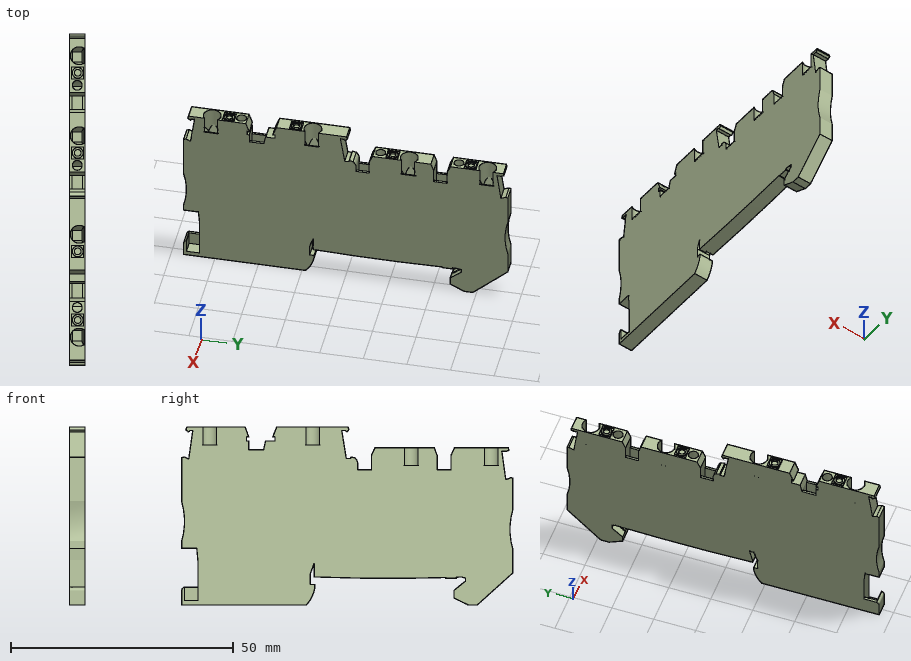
import cadquery as cq


THICKNESS = 3.5
LENGTH = 74.4
HEIGHT = 40.0

LOWER_TOP = 35.35
LOWER_NOTCH_FLOOR = 30.45
UPPER_NOTCH_FLOOR = 34.9
UPPER_LEDGE = 36.9
RAIL_FACE = 6.3
RAIL_FACE_SAG = 0.3

BEVEL_DROP = 1.75
BEVEL_WIDE = 0.8
BEVEL_NARROW = 0.65

NOTCH_1 = (13.95, 17.0)
NOTCH_2 = (31.8, 34.8)
NOTCH_3 = (56.0, 59.3)
BRIDGE_SLOT_WIDTH = 2.45
BRIDGE_SLOT_DEPTH = 3.0

HOLLOW_SPAN = 9.0
HOLLOW_SAG = 0.65
PLUS_HOLLOW_BOTTOM = 12.5
MINUS_HOLLOW_BOTTOM = 14.3

FOOT_STATION = 44.47
SLOT_TOP = 9.8
SLOT_WEB_START = 43.4
SLOT_WEB_END = 44.65
SLOT_WEB_THICKNESS = THICKNESS / 2

FOOT_TOP = 4.05
RECESS_STATION = 70.75
FOOT_POCKET_END = 73.7
FOOT_POCKET_WALL = 0.6
FOOT_POCKET_DEPTH = 3.0

HOOK_ROOT = (10.7, 5.4)
HOOK_TIP = (13.25, 3.35)
HOOK_STEP = 0.3
HOOK_STEP_THICKNESS = THICKNESS / 2
RAIL_PAD = (12.7, 15.1)
RAIL_PAD_LEVEL = 6.0

WIRE_RADIUS = 2.0
WIRE_X = 0.45
MOUTH_DEPTH = 4.0
FUNNEL_DEPTH = 2.6
FUNNEL_MIN_X = -1.6
FUNNEL_MAX_X = 1.5
THROAT_WIDTH = 2.05
THROAT_OUTER = 0.85
THROAT_INNER = 1.45

PUSHER_FROM_WIRE = 3.85
PUSHER_X = 0.1
PUSHER_SIDE = 2.68
PUSHER_RECESS = 0.2
PLUNGER_RADIUS = 1.2
PLUNGER_HOLE_RADIUS = 0.75
PLUNGER_HOLE_DEPTH = 0.4

TEST_FROM_WIRE = 6.65
TEST_RADIUS = 1.1
TEST_RAMP_TOP = 3.0
TEST_DEPTH = 6.0
TEST_RAMP_FOOT = 0.25
TEST_RAMP_SAG = 0.2

TERMINALS = [
    (4.9, LOWER_TOP, 1, True),
    (22.87, LOWER_TOP, 1, True),
    (44.98, HEIGHT, 1, False),
    (68.08, HEIGHT, -1, True),
]


def at(station, level):
    """Point (Y, Z) at a station and a height."""
    return (LENGTH / 2 - station, level)


def side_prism(points, x_from, x_to):
    """Prism of a (station, level) polygon between two X positions."""
    outline = cq.Workplane("YZ", origin=(x_from, 0, 0)).polyline([at(*p) for p in points])
    return outline.close().extrude(x_to - x_from)


def box_between(x_range, station_range, z_range):
    """Box from ranges of X, station and Z."""
    size = [abs(r[1] - r[0]) for r in (x_range, station_range, z_range)]
    low_y = LENGTH / 2 - max(station_range)
    return cq.Workplane("XY").box(*size, centered=False).translate((min(x_range), low_y, min(z_range)))


def cylinder_down(x, station, top, radius, depth):
    """Vertical cylinder hanging down from a level."""
    origin = (x, LENGTH / 2 - station, top)
    return cq.Workplane("XY", origin=origin).circle(radius).extrude(-depth)


def lines(outline, *points):
    """Outline continued through (station, level) points by straight lines."""
    for point in points:
        outline = outline.lineTo(*at(*point))
    return outline


def arc(outline, middle, end):
    """Outline continued by an arc through two (station, level) points."""
    return outline.threePointArc(at(*middle), at(*end))


def make_plate():
    """Plate with the full side outline, traced from the +Y end along the top, then back below."""
    lower_bevel = LOWER_TOP - BEVEL_DROP
    outline = cq.Workplane("YZ", origin=(-THICKNESS / 2, 0, 0)).moveTo(*at(0, 28.5))

    outline = lines(outline, (0.45, 28.65), (1.6, 28.2), (2.48, 34.55))
    outline = lines(outline, (1.5, 34.5), (0.9, 34.75), (1.03, LOWER_TOP))
    outline = lines(outline, (NOTCH_1[0] - BEVEL_WIDE, LOWER_TOP), (NOTCH_1[0], lower_bevel))
    outline = lines(outline, (NOTCH_1[0], LOWER_NOTCH_FLOOR), (NOTCH_1[1], LOWER_NOTCH_FLOOR))
    outline = lines(outline, (NOTCH_1[1], lower_bevel), (NOTCH_1[1] + BEVEL_NARROW, LOWER_TOP))
    outline = lines(outline, (NOTCH_2[0] - BEVEL_WIDE, LOWER_TOP), (NOTCH_2[0], lower_bevel))
    outline = lines(outline, (NOTCH_2[0], LOWER_NOTCH_FLOOR), (NOTCH_2[1], LOWER_NOTCH_FLOOR))

    outline = lines(outline, (NOTCH_2[1], 31.7))
    outline = arc(outline, (35.02, 32.5), (35.5, 33.1))
    outline = lines(outline, (36.35, 33.3), (36.5, 32.95), (37.4, 32.95), (38.4, 39.2))
    outline = lines(outline, (37.6, 39.2), (37.3, 38.85), (36.8, 39.4), (37.0, HEIGHT))

    outline = lines(outline, (53.05, HEIGHT), (53.95, 37.75), (53.45, 37.75), (53.45, UPPER_LEDGE))
    outline = lines(outline, (55.55, UPPER_LEDGE), (NOTCH_3[0], UPPER_NOTCH_FLOOR))
    outline = lines(outline, (NOTCH_3[1], UPPER_NOTCH_FLOOR))
    outline = lines(outline, (NOTCH_3[1], UPPER_LEDGE), (59.8, UPPER_LEDGE), (59.8, 37.8), (NOTCH_3[1], 37.8))
    outline = lines(outline, (60.1, HEIGHT), (73.2, HEIGHT), (73.45, 39.35), (72.8, 38.85), (72.5, 39.2))
    outline = lines(outline, (71.9, 39.2), (72.8, 32.85), (73.8, 33.3), (LENGTH, 33.1))

    outline = lines(outline, (LENGTH, MINUS_HOLLOW_BOTTOM + HOLLOW_SPAN))
    hollow_middle = (LENGTH - HOLLOW_SAG, MINUS_HOLLOW_BOTTOM + HOLLOW_SPAN / 2)
    outline = arc(outline, hollow_middle, (LENGTH, MINUS_HOLLOW_BOTTOM))
    outline = lines(outline, (LENGTH, 12.75), (71.0, 12.75), (RECESS_STATION, 10.05))
    outline = lines(outline, (RECESS_STATION, FOOT_TOP), (73.8, FOOT_TOP))
    outline = arc(outline, (74.2, 3.75), (LENGTH, 3.15))
    outline = lines(outline, (LENGTH, 0), (46.4, 0))
    outline = arc(outline, (45.1, 1.9), (FOOT_STATION, 3.8))
    outline = lines(outline, (FOOT_STATION, 4.65), (45.45, 4.65), (45.45, 7.1), (FOOT_STATION, SLOT_TOP))

    outline = lines(outline, (43.5, SLOT_TOP), (44.25, 6.9), (44.25, RAIL_FACE))
    outline = arc(outline, (28.0, RAIL_FACE - RAIL_FACE_SAG), (11.5, RAIL_FACE))
    outline = lines(outline, (HOOK_ROOT[0], 6.05), HOOK_ROOT, HOOK_TIP, (HOOK_TIP[0], 1.6), (10.0, 0), (8.05, 0))

    outline = lines(outline, (0, 7.25), (0, PLUS_HOLLOW_BOTTOM))
    hollow_middle = (HOLLOW_SAG, PLUS_HOLLOW_BOTTOM + HOLLOW_SPAN / 2)
    outline = arc(outline, hollow_middle, (0, PLUS_HOLLOW_BOTTOM + HOLLOW_SPAN))
    return outline.close().extrude(THICKNESS)


def add_rail_details(body):
    """Web closing the back of the relief slot, pad on the rail face and step in the hook."""
    back = THICKNESS / 2
    web = box_between(
        (back - SLOT_WEB_THICKNESS, back), (SLOT_WEB_START, SLOT_WEB_END), (RAIL_FACE, SLOT_TOP)
    )
    pad = box_between((0, back), RAIL_PAD, (RAIL_PAD_LEVEL, RAIL_FACE + RAIL_FACE_SAG))
    step = side_prism(
        [
            HOOK_ROOT,
            HOOK_TIP,
            (HOOK_TIP[0], HOOK_TIP[1] - HOOK_STEP),
            (HOOK_ROOT[0], HOOK_ROOT[1] - HOOK_STEP),
        ],
        -back,
        HOOK_STEP_THICKNESS - back,
    )
    return body.union(web).union(pad).cut(step)


def foot_pocket():
    """Pocket in the top of the -Y foot, leaving a thin wall on its -X side."""
    return box_between(
        (FOOT_POCKET_WALL - THICKNESS / 2, THICKNESS / 2),
        (RECESS_STATION, FOOT_POCKET_END),
        (FOOT_TOP - FOOT_POCKET_DEPTH, FOOT_TOP),
    )


def bridge_slot(notch, floor):
    """Slot sunk in a notch floor over the whole length of the notch."""
    half_width = BRIDGE_SLOT_WIDTH / 2
    return box_between((-half_width, half_width), notch, (floor - BRIDGE_SLOT_DEPTH, floor))


def wire_entry(station, top, direction):
    """Round mouth followed by a funnel, clipped to the mouth circle, down to the throat."""
    mouth = cylinder_down(WIRE_X, station, top, WIRE_RADIUS, MOUTH_DEPTH)
    throat_centre = direction * (THROAT_INNER - THROAT_OUTER) / 2
    funnel = (
        cq.Workplane("XY", origin=(0, LENGTH / 2 - station, top - MOUTH_DEPTH))
        .center((FUNNEL_MIN_X + FUNNEL_MAX_X) / 2, 0)
        .rect(FUNNEL_MAX_X - FUNNEL_MIN_X, 2 * WIRE_RADIUS)
        .workplane(offset=-FUNNEL_DEPTH)
        .center(-(FUNNEL_MIN_X + FUNNEL_MAX_X) / 2, -throat_centre)
        .rect(THROAT_WIDTH, THROAT_OUTER + THROAT_INNER)
        .loft(ruled=True)
    )
    envelope = cylinder_down(WIRE_X, station, top, WIRE_RADIUS, MOUTH_DEPTH + FUNNEL_DEPTH)
    return mouth.union(funnel.intersect(envelope))


def pusher_recess(station, top):
    """Square recess that leaves a round plunger, plus the hole in the plunger."""
    half = PUSHER_SIDE / 2
    recess = box_between(
        (PUSHER_X - half, PUSHER_X + half), (station - half, station + half), (top - PUSHER_RECESS, top)
    )
    plunger = cylinder_down(PUSHER_X, station, top, PLUNGER_RADIUS, PUSHER_RECESS)
    hole = cylinder_down(PUSHER_X, station, top, PLUNGER_HOLE_RADIUS, PLUNGER_HOLE_DEPTH)
    return recess.cut(plunger).union(hole)


def test_hole(station, top, direction):
    """Round hole whose half toward the wire entry ends on a concave ramp."""
    hole = cylinder_down(0, station, top, TEST_RADIUS, TEST_DEPTH)
    wire_side = station - direction * TEST_RADIUS
    foot = station + direction * TEST_RAMP_FOOT
    ramp_top = top - TEST_RAMP_TOP
    bottom = top - TEST_DEPTH
    sag_point = at(
        (wire_side + foot) / 2 - direction * TEST_RAMP_SAG,
        (ramp_top + bottom) / 2 - TEST_RAMP_SAG,
    )
    ramp = (
        cq.Workplane("YZ", origin=(-TEST_RADIUS, 0, 0))
        .moveTo(*at(wire_side, bottom))
        .lineTo(*at(wire_side, ramp_top))
        .threePointArc(sag_point, at(foot, bottom))
        .close()
        .extrude(2 * TEST_RADIUS)
    )
    return hole.cut(ramp)


result = add_rail_details(make_plate()).cut(foot_pocket())

for notch, floor in (
    (NOTCH_1, LOWER_NOTCH_FLOOR),
    (NOTCH_2, LOWER_NOTCH_FLOOR),
    (NOTCH_3, UPPER_NOTCH_FLOOR),
):
    result = result.cut(bridge_slot(notch, floor))

for wire_station, top_level, toward, has_test_hole in TERMINALS:
    result = result.cut(wire_entry(wire_station, top_level, toward))
    result = result.cut(pusher_recess(wire_station + toward * PUSHER_FROM_WIRE, top_level))
    if has_test_hole:
        result = result.cut(test_hole(wire_station + toward * TEST_FROM_WIRE, top_level, toward))